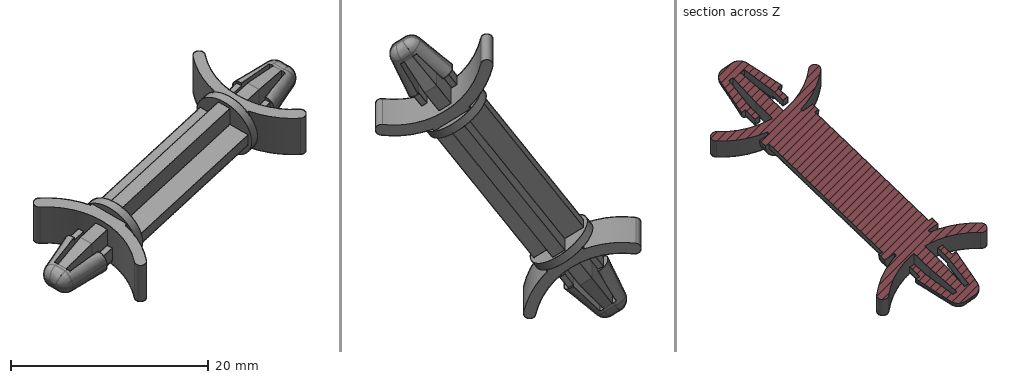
import cadquery as cq

total_length = 38.17
tip_y = total_length / 2

shaft_width = 6.2
rib_thickness = 1.5
flange_diameter = 7.1
flange_thickness = 0.95
flange_outer_y = 9.85
flange_inner_y = flange_outer_y - flange_thickness

wing_span = 14.3
wing_thickness = 1.25
wing_depth = 5.4
wing_rise = 2.55
neck_width = 4.5

barb_y = 13.65
barb_width = 5.4
nose_width = 3.2
head_depth = 2.67
barb_corner_radius = 1.03
nose_corner_radius = 1.25
nose_radius = 1.22
slot_top_y = 17.55
slot_width_at_barb = 3.05
slot_width_at_nose = 2.02
tab_thickness = 0.65
tab_length = 1.53
tab_depth = 1.9

web_depth = 3.8
web_tip_thickness = 1.03
web_tip_depth = 2.6
web_tip_y = 17.83


def plane_at(y):
    """Plane facing -Y whose local x and y axes are the part's X and Z."""
    return cq.Plane(origin=(0, y, 0), xDir=(1, 0, 0), normal=(0, -1, 0))


def block(width, depth, y_start, y_end):
    """Box centred on the part's axis between two stations along Y."""
    return cq.Workplane("XY").box(width, y_end - y_start, depth).translate((0, (y_start + y_end) / 2, 0))


def make_shaft():
    upright = block(rib_thickness, shaft_width, -flange_inner_y, flange_inner_y)
    crosswise = block(shaft_width, rib_thickness, -flange_inner_y, flange_inner_y)
    return upright.union(crosswise)


def make_flange():
    return cq.Workplane(plane_at(flange_outer_y)).circle(flange_diameter / 2).extrude(flange_thickness)


def make_wing():
    """Constant-thickness arc with round ends, on a short neck above the flange."""
    end_radius = wing_thickness / 2
    end_x = wing_span / 2 - end_radius
    mid_radius = (end_x**2 + wing_rise**2) / (2 * wing_rise)
    centre_y = flange_outer_y + end_radius + mid_radius
    end_y = flange_outer_y + end_radius + wing_rise

    out_x = end_x / mid_radius
    out_y = (end_y - centre_y) / mid_radius
    outer_radius = mid_radius + end_radius
    inner_radius = mid_radius - end_radius
    outer_end = (out_x * outer_radius, centre_y + out_y * outer_radius)
    inner_end = (out_x * inner_radius, centre_y + out_y * inner_radius)
    round_end = (end_x - out_y * end_radius, end_y + out_x * end_radius)

    arc = (
        cq.Workplane("XY")
        .moveTo(-outer_end[0], outer_end[1])
        .threePointArc((0, flange_outer_y), outer_end)
        .threePointArc(round_end, inner_end)
        .threePointArc((0, flange_outer_y + wing_thickness), (-inner_end[0], inner_end[1]))
        .threePointArc((-round_end[0], round_end[1]), (-outer_end[0], outer_end[1]))
        .close()
        .extrude(wing_depth / 2, both=True)
    )
    neck = block(neck_width, wing_depth, flange_outer_y, flange_outer_y + wing_thickness / 2)
    return arc.union(neck)


def head_section(width, corner_radius):
    return cq.Sketch().rect(width, head_depth).vertices().fillet(corner_radius)


def make_arms():
    """Tapered head with a rounded nose, hollowed by a tapered slot along Z."""
    head = (
        cq.Workplane("XZ")
        .placeSketch(
            head_section(barb_width, barb_corner_radius).moved(cq.Location(cq.Vector(0, 0, -barb_y))),
            head_section(nose_width, nose_corner_radius).moved(cq.Location(cq.Vector(0, 0, -tip_y))),
        )
        .loft(ruled=True)
        .faces(">Y")
        .edges()
        .fillet(nose_radius)
    )
    slot = (
        cq.Workplane("XY")
        .moveTo(-slot_width_at_barb / 2, barb_y)
        .lineTo(slot_width_at_barb / 2, barb_y)
        .lineTo(slot_width_at_nose / 2, slot_top_y)
        .lineTo(-slot_width_at_nose / 2, slot_top_y)
        .close()
        .extrude(head_depth, both=True)
    )
    return head.cut(slot)


def make_tabs():
    """Flat tongues that continue the inner faces of the arms past the barbs."""
    tab_x = (slot_width_at_barb + tab_thickness) / 2
    tab = block(tab_thickness, tab_depth, barb_y - tab_length, barb_y)
    return tab.translate((tab_x, 0, 0)).union(tab.translate((-tab_x, 0, 0)))


def make_web():
    """Straight stem from the wing to the barbs, then a taper into the nose."""
    stem = block(rib_thickness, web_depth, flange_outer_y, barb_y)
    taper = (
        cq.Workplane(plane_at(barb_y))
        .rect(rib_thickness, web_depth)
        .workplane(offset=barb_y - web_tip_y)
        .rect(web_tip_thickness, web_tip_depth)
        .loft(ruled=True)
    )
    return stem.union(taper)


def make_end():
    end = make_flange()
    for feature in (make_wing(), make_web(), make_arms(), make_tabs()):
        end = end.union(feature)
    return end


end = make_end()
result = make_shaft().union(end).union(end.mirror("XZ"))